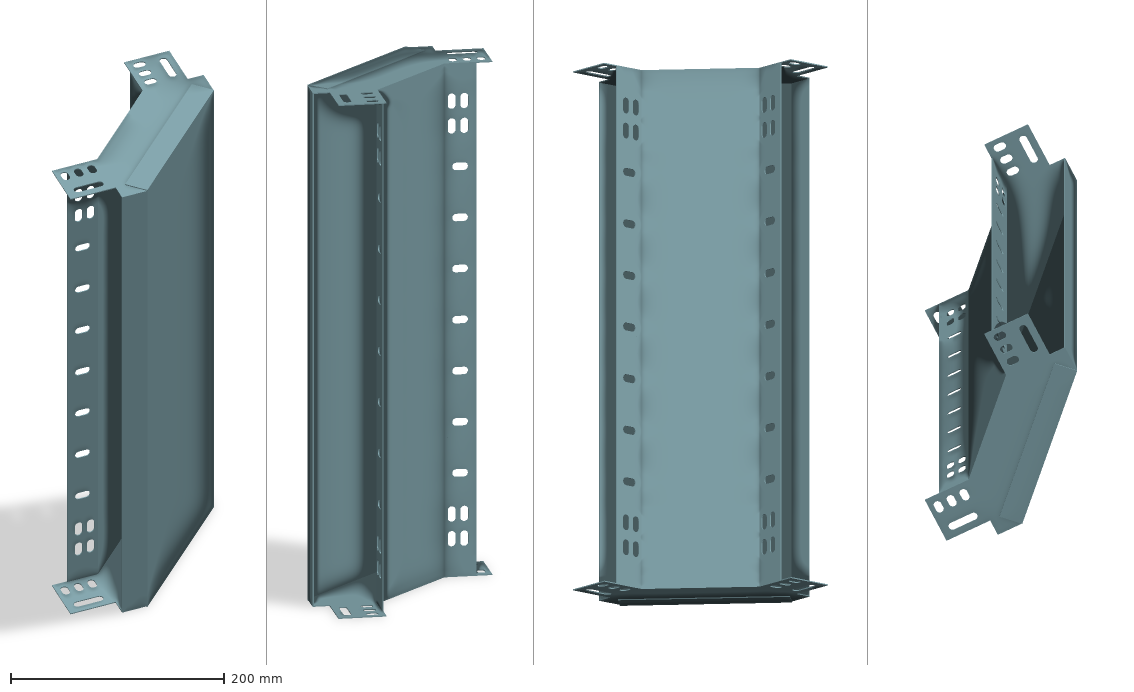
import cadquery as cq
import math

HEIGHT = 503.0
SPAN = 186.0
SHEET = 1.0

TAB_LENGTH = 46.0
TAB_INNER = 124.5
TAB_OUTER = 170.0
WALL_START = 15.0

BEND = 71.5
LIP_DEPTH = 22.5

SLOT_WIDTH = 7.5
SHORT_SLOT_LENGTH = 12.0
SHORT_SLOT_EDGE = 12.0
SHORT_SLOT_FIRST = 8.5
SHORT_SLOT_PITCH = 13.5
SHORT_SLOT_COUNT = 3
LONG_SLOT_LENGTH = 29.5
LONG_SLOT_EDGE = 10.5
LONG_SLOT_CENTRE = 22.5

WALL_SLOT_LENGTH = 15.0
LEVEL_SLOT_PLACE = 30.5
LEVEL_SLOT_PITCH = 50.0
LEVEL_SLOT_COUNT = 7
UPRIGHT_SLOT_PLACES = (26.5, 38.5)
UPRIGHT_SLOT_HEIGHTS = (189.0, 213.5)

TRAY_HEIGHT = HEIGHT - 2 * SHEET
TRAY_BASE = SHEET
MID_HEIGHT = HEIGHT / 2
COVER_INSIDE = SPAN - SHEET
DIAGONAL_SHIFT = SHEET * math.tan(math.radians(45 / 2))
BEND_INSIDE = BEND - DIAGONAL_SHIFT
LIP_STEP = LIP_DEPTH / math.sqrt(2)


def both_arms(points):
    """Close a half outline with its mirror image about the line X = Y."""
    return points + [(y, x) for x, y in reversed(points)]


def plate(points, base, height):
    """Upright prism over a plan outline."""
    return cq.Workplane("XY").workplane(offset=base).polyline(points).close().extrude(height)


def mirrored(shape):
    """The same shape on the other arm, mirrored about the line X = Y."""
    return shape.mirror(cq.Vector(1, -1, 0))


def flange(base):
    """End plate of the tray, with a free tab on each arm."""
    outline = [
        (TAB_LENGTH, TAB_INNER),
        (0, TAB_INNER),
        (0, TAB_OUTER),
        (TAB_LENGTH, TAB_OUTER),
        (TAB_LENGTH, COVER_INSIDE),
        (BEND_INSIDE, COVER_INSIDE),
    ]
    return plate(both_arms(outline), base, SHEET)


def inner_wall():
    """Tray wall in three stretches, bent twice by 45 degrees."""
    inside = TAB_INNER + SHEET
    outline = [
        (TAB_LENGTH, TAB_INNER),
        (WALL_START, TAB_INNER),
        (WALL_START, inside),
        (TAB_LENGTH + DIAGONAL_SHIFT, inside),
    ]
    return plate(both_arms(outline), TRAY_BASE, TRAY_HEIGHT)


def tab_slots():
    """Cutters for the tabs of one arm, through both flanges."""
    short_places = [
        (SHORT_SLOT_FIRST + i * SHORT_SLOT_PITCH, TAB_INNER + SHORT_SLOT_EDGE)
        for i in range(SHORT_SLOT_COUNT)
    ]
    long_place = (LONG_SLOT_CENTRE, TAB_OUTER - LONG_SLOT_EDGE)
    short = cq.Workplane("XY").pushPoints(short_places).slot2D(SHORT_SLOT_LENGTH, SLOT_WIDTH, 90)
    long = cq.Workplane("XY").pushPoints([long_place]).slot2D(LONG_SLOT_LENGTH, SLOT_WIDTH)
    return short.extrude(HEIGHT).union(long.extrude(HEIGHT))


def wall_slots():
    """Cutters for the inner wall of one arm."""
    wall = cq.Workplane("XZ", origin=(0, TAB_INNER + SHEET, MID_HEIGHT))
    first_level = -LEVEL_SLOT_PITCH * (LEVEL_SLOT_COUNT - 1) / 2
    level_places = [
        (LEVEL_SLOT_PLACE, first_level + i * LEVEL_SLOT_PITCH) for i in range(LEVEL_SLOT_COUNT)
    ]
    upright_places = [
        (x, side * z) for x in UPRIGHT_SLOT_PLACES for z in UPRIGHT_SLOT_HEIGHTS for side in (-1, 1)
    ]
    level = wall.pushPoints(level_places).slot2D(WALL_SLOT_LENGTH, SLOT_WIDTH).extrude(SHEET)
    upright = wall.pushPoints(upright_places).slot2D(WALL_SLOT_LENGTH, SLOT_WIDTH, 90).extrude(SHEET)
    return level.union(upright)


def make_tray():
    """Inner wall with a flange at each end, slotted on both arms."""
    tray = inner_wall()
    for base in (TRAY_BASE, TRAY_BASE + TRAY_HEIGHT - SHEET):
        tray = tray.union(flange(base))
    for slots in (tab_slots(), wall_slots()):
        tray = tray.cut(slots).cut(mirrored(slots))
    return tray


def cover_lip(base):
    """Strip along the diagonal wall, with square ends."""
    outline = [(BEND, SPAN), (BEND - LIP_STEP, SPAN - LIP_STEP)]
    return plate(both_arms(outline), base, SHEET)


def make_cover():
    """Outer wall in three stretches, with a lip lying on each tray flange."""
    wall_outline = [
        (BEND, SPAN),
        (TAB_LENGTH, SPAN),
        (TAB_LENGTH, COVER_INSIDE),
        (BEND_INSIDE, COVER_INSIDE),
    ]
    cover = plate(both_arms(wall_outline), TRAY_BASE, TRAY_HEIGHT)
    for base in (0, HEIGHT - SHEET):
        cover = cover.union(cover_lip(base))
    return cover


tray = make_tray()
cover = make_cover()
result = cq.Compound.makeCompound([tray.val(), cover.val()])